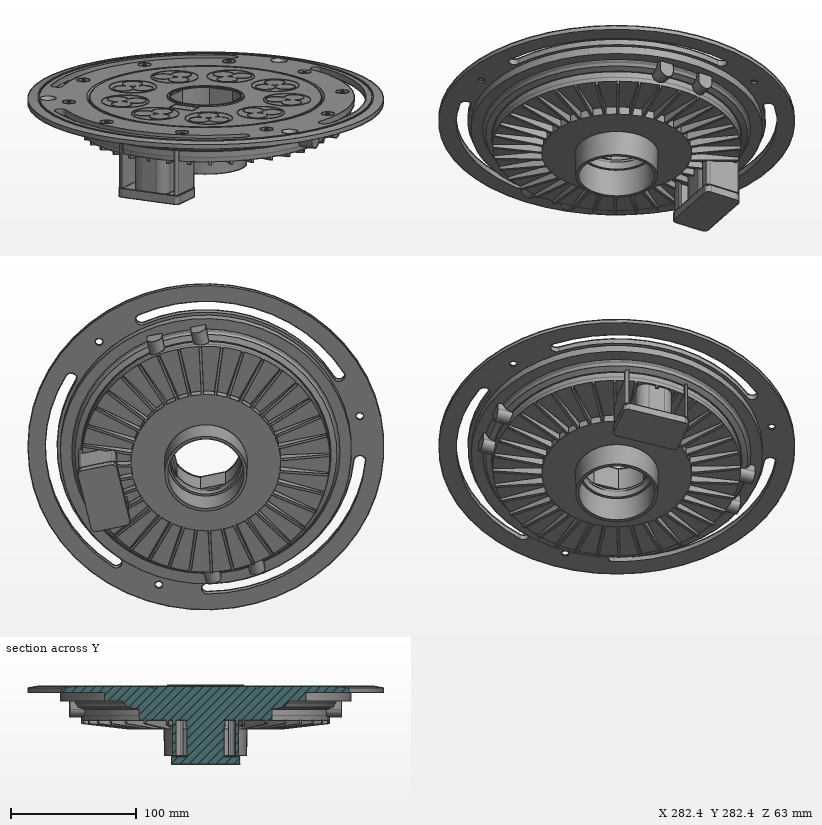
import cadquery as cq
import math

face_z = -0.8
rim_z = -2.3
flange_z = -6.0
body_z = -12.7
collar_edge_z = -13.8
collar_neck_z = -14.7
collar_z = -17.2
step_z = -19.2
seam_z = -24.3
drum_z = -28.0
fin_tip_z = -30.5
fin_inner_z = -34.7
hub_z = -56.0
base_z = -63.0

flange_r = 141.2
bevel_r = 133.3
body_r = 115.5
collar_top_r = 106.5
collar_edge_r = 106.0
collar_neck_r = 105.5
collar_r = 104.0
drum_top_r = 99.5
drum_r = 98.5
drum_lower_r = 98.3
fin_flat_r = 62.0
boss_r = 59.3
hub_top_r = 33.0
hub_bottom_r = 32.5

rim_groove_depth = 0.5
mark_depth = 0.3
rim_groove_inner_r = 132.2
lens_plate_r = 92.0
lens_groove_r = 92.7
lens_slope_r = 94.4
lens_groove_depth = 1.5
ring_r = 30.8
ring_top_r = 30.2
ring_bore_r = 28.5

bore_r = 28.0
bore_flats = 52.0
bore_flats_z = -24.0
bore_cone_z = -25.7
lower_bore_z = -32.2
lower_bore_r = 30.2

slot_inner_r = 118.0
slot_outer_r = 127.5
slot_half_angle = 42.0
slot_count = 3
first_slot_angle = 30.0
mount_count = 3
first_mount_angle = 90.0
mount_circle_r = 125.1
mount_hole_d = 6.0
mount_sink_d = 13.0
mount_sink_angle = 90.0
screw_circle_r = 109.5
screw_count = 10
screw_d = 10.5
socket_d = 3.5
socket_depth = 1.0

cluster_count = 9
cluster_circle_r = 65.3
cluster_d = 37.5
lens_d = 16.0
lens_circle_r = 9.0
lens_count = 3

plate_length = 21.0
plate_width = 11.3
plate_y = -37.0

fin_count = 36
fin_thickness = 2.0

tab_y = 17.8
tab_width = 12.1
tab_outer_x = 108.0
tab_inner_x = 94.5
tab_bottom_z = -25.5

base_length = 54.2
base_front_y = -98.5
base_back_y = -67.2
base_fillet = 3.7
base_wall = 1.5
tray_depth = 0.8
cheek_outer_x = 26.3
cheek_thickness = 2.8
cheek_front_y = -98.0
cheek_back_y = -68.5
cheek_fillet = 2.0
lip_inner_x = 18.0
lip_thickness = 1.7
lip_fillet = 3.7
plug_length = 30.0
plug_front_y = -97.2
plug_back_y = -71.0
plug_fillet = 8.5


def disc(radius, top, bottom):
    return cq.Workplane("XY").workplane(offset=bottom).circle(radius).extrude(top - bottom)


def ring(outer, inner, top, bottom):
    return disc(outer, top, bottom).cut(disc(inner, top, bottom))


def block(x0, x1, y0, y1, z0, z1):
    size = (x1 - x0, y1 - y0, z1 - z0)
    return cq.Workplane("XY").box(*size, centered=False).translate((x0, y0, z0))


def turn(outline):
    return cq.Workplane("XZ").polyline(outline).close().revolve(360, (0, 0, 0), (0, 1, 0))


def polar(radius, angle):
    a = math.radians(angle)
    return (radius * math.cos(a), radius * math.sin(a))


def circle_of_points(radius, count, start):
    return [polar(radius, start + 360 * i / count) for i in range(count)]


def pins(points, diameter, top, bottom):
    plane = cq.Workplane("XY").workplane(offset=bottom)
    return plane.pushPoints(points).circle(diameter / 2).extrude(top - bottom)


def turned_body():
    outline = [
        (0, face_z), (bevel_r, face_z), (flange_r, rim_z), (flange_r, flange_z),
        (body_r, flange_z), (body_r, body_z), (collar_top_r, body_z), (collar_edge_r, collar_edge_z),
        (collar_neck_r, collar_neck_z), (collar_r, collar_z),
        (drum_top_r, step_z), (drum_r, step_z), (drum_r, seam_z), (drum_lower_r, drum_z),
        (boss_r, drum_z), (boss_r, fin_inner_z), (hub_top_r, fin_inner_z),
        (hub_bottom_r, hub_z), (0, hub_z),
    ]
    return turn(outline)


def cooling_fins():
    root_r = (boss_r + hub_top_r) / 2
    outline = [
        (root_r, seam_z), (drum_lower_r, seam_z), (drum_lower_r, fin_tip_z),
        (fin_flat_r, fin_inner_z), (root_r, fin_inner_z),
    ]
    fin = cq.Workplane("XZ").polyline(outline).close().extrude(fin_thickness / 2, both=True)
    fins = cq.Workplane("XY")
    for i in range(fin_count):
        fins = fins.add(fin.rotate((0, 0, 0), (0, 0, 1), 360 * i / fin_count))
    return fins.combine()


def side_tabs():
    radius = tab_width / 2
    round_z = tab_bottom_z + radius
    tabs = cq.Workplane("XY")
    for start_x in (-tab_outer_x, tab_inner_x):
        for y in (-tab_y, tab_y):
            tab = (
                cq.Workplane("YZ").workplane(offset=start_x)
                .moveTo(y - radius, flange_z).lineTo(y - radius, round_z)
                .threePointArc((y, tab_bottom_z), (y + radius, round_z))
                .lineTo(y + radius, flange_z).close()
                .extrude(tab_outer_x - tab_inner_x)
            )
            tabs = tabs.add(tab)
    return tabs.combine()


def bracket():
    half = base_length / 2
    base = block(-half, half, base_front_y, base_back_y, base_z, hub_z).edges("|Z").fillet(base_fillet)
    base = base.cut(block(
        -half + base_wall, half - base_wall,
        base_front_y + base_wall, base_back_y - base_wall, hub_z - tray_depth, hub_z,
    ))
    cheek_inner_x = cheek_outer_x - cheek_thickness
    outer = block(-cheek_outer_x, cheek_outer_x, cheek_front_y, cheek_back_y, hub_z, collar_z)
    outer = outer.edges("|Z").fillet(cheek_fillet)
    lip_front_y = cheek_back_y - lip_thickness
    between_cheeks = block(-cheek_inner_x, cheek_inner_x, cheek_front_y, lip_front_y, hub_z, collar_z)
    between_cheeks = between_cheeks.faces(">Y").edges("|Z").fillet(lip_fillet)
    between_lips = block(-lip_inner_x, lip_inner_x, lip_front_y, cheek_back_y, hub_z, collar_z)
    cheeks = outer.cut(between_cheeks).cut(between_lips)
    plug = block(-plug_length / 2, plug_length / 2, plug_front_y, plug_back_y, base_z, drum_z)
    plug = plug.edges("|Z").fillet(plug_fillet)
    return base.union(cheeks).union(plug)


def raised_ring():
    outline = [(0, flange_z), (ring_r, flange_z), (ring_r, face_z), (ring_top_r, 0), (0, 0)]
    return turn(outline)


def lens_groove():
    floor = face_z - lens_groove_depth
    outline = [(lens_plate_r, face_z), (lens_plate_r, floor), (lens_groove_r, floor), (lens_slope_r, face_z)]
    return turn(outline)


def central_bore():
    half = bore_flats / 2
    flats = block(-half, half, -half, half, bore_flats_z, 0)
    upper = disc(bore_r, 0, bore_flats_z).intersect(flats)
    lower_outline = [
        (0, bore_flats_z), (bore_r, bore_flats_z), (ring_bore_r, bore_cone_z), (ring_bore_r, lower_bore_z),
        (lower_bore_r, lower_bore_z), (lower_bore_r, hub_z), (0, hub_z),
    ]
    return upper.union(turn(lower_outline))


def arc_slot(middle_angle):
    middle_r = (slot_inner_r + slot_outer_r) / 2
    cap_r = (slot_outer_r - slot_inner_r) / 2
    start = middle_angle - slot_half_angle
    end = middle_angle + slot_half_angle
    cap_angle = math.degrees(cap_r / middle_r)
    return (
        cq.Workplane("XY").workplane(offset=flange_z)
        .moveTo(*polar(slot_outer_r, start))
        .threePointArc(polar(slot_outer_r, middle_angle), polar(slot_outer_r, end))
        .threePointArc(polar(middle_r, end + cap_angle), polar(slot_inner_r, end))
        .threePointArc(polar(slot_inner_r, middle_angle), polar(slot_inner_r, start))
        .threePointArc(polar(middle_r, start - cap_angle), polar(slot_outer_r, start))
        .close().extrude(-flange_z)
    )


def lens_clusters():
    floor = face_z - mark_depth
    cluster = disc(cluster_d / 2, face_z, floor)
    lenses = pins(circle_of_points(lens_circle_r, lens_count, 0), lens_d, face_z, floor)
    cluster = cluster.cut(lenses).translate((-cluster_circle_r, 0, 0))
    clusters = cq.Workplane("XY")
    for i in range(cluster_count):
        clusters = clusters.add(cluster.rotate((0, 0, 0), (0, 0, 1), 360 * i / cluster_count))
    return clusters.combine()


result = turned_body().union(cooling_fins()).union(side_tabs()).union(bracket())
result = result.union(raised_ring())
result = result.cut(central_bore()).cut(disc(ring_bore_r, 0, face_z))

result = result.cut(ring(bevel_r, rim_groove_inner_r, face_z, face_z - rim_groove_depth))
result = result.cut(lens_groove())

for i in range(slot_count):
    result = result.cut(arc_slot(first_slot_angle + 360 * i / slot_count))
result = (
    result.faces(">Z").workplane(offset=face_z, origin=(0, 0, 0))
    .pushPoints(circle_of_points(mount_circle_r, mount_count, first_mount_angle))
    .cskHole(mount_hole_d, mount_sink_d, mount_sink_angle, -flange_z)
)

screws = circle_of_points(screw_circle_r, screw_count, 0)
result = result.cut(pins(screws, screw_d, face_z, face_z - mark_depth))
result = result.cut(pins(screws, socket_d, face_z, face_z - socket_depth))
result = result.cut(lens_clusters())
result = result.cut(
    cq.Workplane("XY").box(plate_length, plate_width, 2 * mark_depth).translate((0, plate_y, face_z))
)